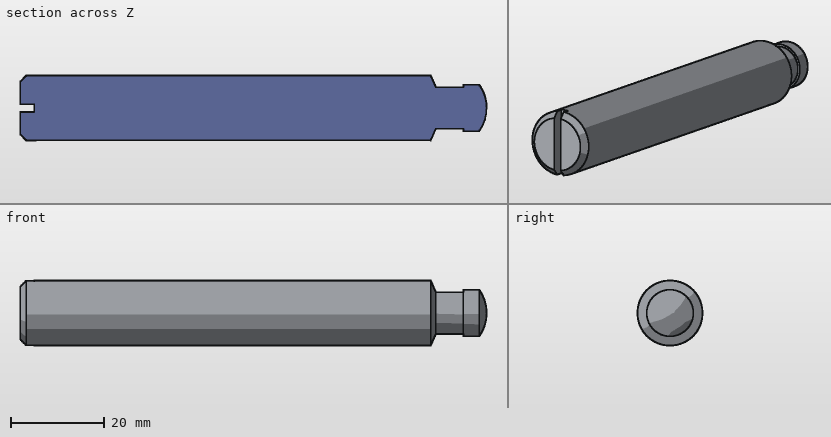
import cadquery as cq

total_length = 100.0
body_radius = 14.0 / 2
neck_radius = 9.0 / 2
head_radius = 10.0 / 2

body_end = 89.1
head_start = 95.0
dome_start = 98.4
slot_end_chamfer = 1.3
shoulder_taper_length = 1.1

slot_width = 1.6
slot_depth = 3.0

x_min = -total_length / 2


def make_pin():
    """Revolve the half outline of the body, neck and domed head."""
    dome_height = total_length - dome_start
    dome_radius = (head_radius**2 + dome_height**2) / (2 * dome_height)
    mid_height = head_radius / 2
    mid_x = total_length - dome_radius + (dome_radius**2 - mid_height**2) ** 0.5
    return (
        cq.Workplane("XY", origin=(x_min, 0, 0))
        .moveTo(0, 0)
        .lineTo(0, body_radius - slot_end_chamfer)
        .lineTo(slot_end_chamfer, body_radius)
        .lineTo(body_end - shoulder_taper_length, body_radius)
        .lineTo(body_end, neck_radius)
        .lineTo(head_start, neck_radius)
        .lineTo(head_start, head_radius)
        .lineTo(dome_start, head_radius)
        .threePointArc((mid_x, mid_height), (total_length, 0))
        .close()
        .revolve(360, (0, 0, 0), (1, 0, 0))
    )


def make_slot():
    """Slot cutter running the full diameter along Z."""
    return cq.Workplane("XY", origin=(x_min, 0, 0)).box(
        slot_depth, slot_width, 2 * body_radius, centered=(False, True, True)
    )


result = make_pin().cut(make_slot())